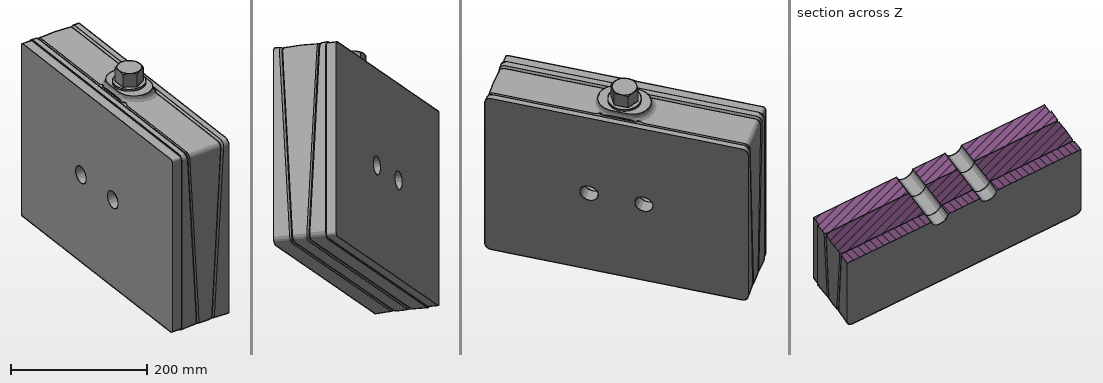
import cadquery as cq
import math

width = 403.5
total_depth = 99.0
total_height = 340.0

block_height = 302.5
pad_depth = 15.7
block_depth = total_depth - pad_depth
half_depth = block_depth / 2
mid_height = block_height / 2
corner_radius = 10.5
draft_angle = 2.0
wedge_inset = 0.5

wedge_half_angle = 3.1
wedge_half_depth = 21.5

groove_depth = 3.2
groove_half_width = groove_depth

boss_radius = 27.5
boss_straight = 25.0
boss_top = 313.5
boss_flare_radius = 11.0
boss_reach = boss_straight / 2 + boss_radius
foot_margin = 4.0

pad_inset = 2.5
pad_corner_radius = 5.0

hole_diameter = 28.0
hole_spacing = 84.0
hole_height = 152.5

collar_diameter = 49.2
collar_height = 3.2
hex_across_flats = 36.5
hex_chamfer_angle = 30.0


def rounded_plate(y_start, plate_width, plate_height, radius, depth, taper=0.0):
    """Upright plate with rounded corners; a positive depth grows toward -Y."""
    profile = cq.Sketch().rect(plate_width, plate_height).vertices().fillet(radius)
    plane = cq.Workplane("XZ", origin=(0, y_start, mid_height))
    return plane.placeSketch(profile).extrude(depth, taper=taper)


def make_wedge_space():
    """Space between the two sliding planes, reaching past the block on all sides."""
    slope = math.tan(math.radians(wedge_half_angle))
    bottom_half = wedge_half_depth - slope * total_height
    top_half = wedge_half_depth + slope * total_height
    bottom = mid_height - total_height
    top = mid_height + total_height
    outline = [(-bottom_half, bottom), (bottom_half, bottom), (top_half, top), (-top_half, top)]
    return cq.Workplane("YZ").polyline(outline).close().extrude(width, both=True)


def make_groove(side):
    """Ring that cuts a V groove along one sliding plane; side is -1 (front) or +1 (back)."""
    angle = math.radians(wedge_half_angle)
    ring_height = block_height / math.cos(angle)
    plane = cq.Plane(
        origin=(0, side * wedge_half_depth, mid_height),
        xDir=(1, 0, 0),
        normal=(0, -math.cos(angle), side * math.sin(angle)),
    )
    core_profile = (
        cq.Sketch()
        .rect(width - 2 * groove_depth, ring_height - 2 * groove_depth)
        .vertices()
        .fillet(corner_radius - groove_depth)
    )
    ring = cq.Workplane(plane).rect(width, ring_height).extrude(groove_half_width, both=True)
    for direction in (-1, 1):
        core = cq.Workplane(plane).placeSketch(core_profile).extrude(direction * groove_half_width, taper=-45)
        ring = ring.cut(core)
    return ring


def make_anchor_holes():
    return (
        cq.Workplane("XZ", origin=(0, 0, hole_height))
        .rarray(hole_spacing, 4, 2, 1)
        .circle(hole_diameter / 2)
        .extrude(total_depth, both=True)
    )


def make_shoe(side):
    """Outer body, tapering from its outer face toward the mid plane; side is -1 (front) or +1 (back)."""
    shoe = rounded_plate(
        side * half_depth, width, block_height, corner_radius, side * half_depth, draft_angle
    )
    return shoe.cut(make_wedge_space()).cut(make_groove(side)).cut(make_anchor_holes())


def make_pad():
    return rounded_plate(
        -half_depth,
        width - 2 * pad_inset,
        block_height - 2 * pad_inset,
        pad_corner_radius,
        pad_depth,
    ).cut(make_anchor_holes())


def make_front_shoe():
    return make_shoe(-1).union(make_pad())


def make_back_shoe():
    return make_shoe(1)


def make_wedge_body():
    """Drafted plate with the flared boss, widest at the mid plane, before it is cut to a wedge."""
    size_x = width - 2 * wedge_inset
    size_z = block_height - 2 * wedge_inset
    radius = corner_radius - wedge_inset
    front = rounded_plate(0, size_x, size_z, radius, half_depth, draft_angle)
    back = rounded_plate(0, size_x, size_z, radius, -half_depth, draft_angle)
    boss = (
        cq.Workplane("XY", origin=(0, 0, mid_height))
        .slot2D(2 * boss_reach, 2 * boss_radius)
        .extrude(boss_top - mid_height)
    )
    body = front.union(back).union(boss)
    boss_foot = cq.selectors.BoxSelector(
        (-boss_reach, -boss_radius - foot_margin, block_height - foot_margin),
        (boss_reach, boss_radius + foot_margin, block_height),
    )
    return body.edges(boss_foot).fillet(boss_flare_radius)


def make_drive_head():
    """Round collar standing on the boss, with a hexagon whose top corners are chamfered."""
    across_corners = hex_across_flats / math.cos(math.radians(30))
    flat_radius = hex_across_flats / 2
    corner_drop = (across_corners / 2 - flat_radius) * math.tan(math.radians(hex_chamfer_angle))
    collar_top = boss_top + collar_height
    collar = cq.Workplane("XY", origin=(0, 0, boss_top)).circle(collar_diameter / 2).extrude(collar_height)
    hexagon = (
        cq.Workplane("XY", origin=(0, 0, collar_top))
        .polygon(6, across_corners)
        .extrude(total_height - collar_top)
    )
    envelope = (
        cq.Workplane("XZ")
        .moveTo(0, collar_top)
        .lineTo(across_corners / 2, collar_top)
        .lineTo(across_corners / 2, total_height - corner_drop)
        .lineTo(flat_radius, total_height)
        .lineTo(0, total_height)
        .close()
        .revolve(360, (0, 0, 0), (0, 1, 0))
    )
    return collar.union(hexagon.intersect(envelope))


def make_middle_wedge():
    """Wedge that slides between the shoes, in one piece with its boss and drive head."""
    wedge = make_wedge_body().intersect(make_wedge_space())
    for side in (-1, 1):
        wedge = wedge.cut(make_groove(side))
    return wedge.cut(make_anchor_holes()).union(make_drive_head())


front_shoe = make_front_shoe()
back_shoe = make_back_shoe()
middle_wedge = make_middle_wedge()

result = cq.Compound.makeCompound([front_shoe.val(), back_shoe.val(), middle_wedge.val()])